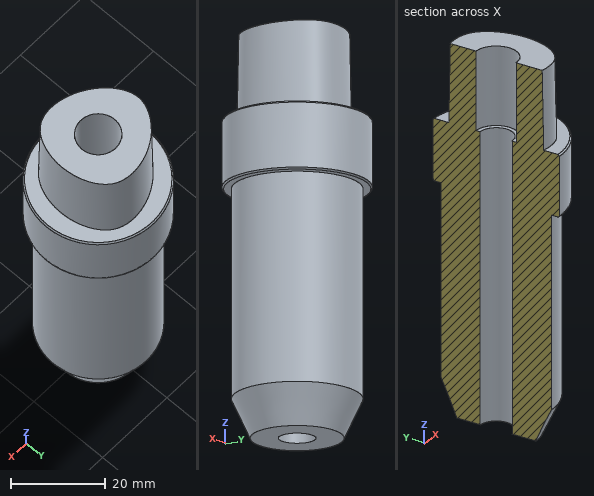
import cadquery as cq
import math

total_height = 89.0
nose_height = 8.6
stub_height = 19.0
collar_height = 15.0
collar_top = total_height - stub_height
collar_bottom = collar_top - collar_height

nose_diameter = 20.0
shaft_diameter = 28.0
collar_diameter = 32.0
collar_chamfer = 0.4

stub_base_radius = 12.2
stub_top_radius = 11.8
lobe_height = 0.67
lobe_count = 3
outline_points = 36

through_diameter = 8.0
counterbore_diameter = 10.1
counterbore_depth = stub_height


def lobed_outline(mean_radius):
    """Points on a constant-width outline with one lobe pointing along -X.

    Each point is the envelope of tangent lines at distance
    mean_radius - lobe_height * cos(lobe_count * angle) from the axis.
    """
    points = []
    for i in range(outline_points):
        angle = 2 * math.pi * i / outline_points
        reach = mean_radius - lobe_height * math.cos(lobe_count * angle)
        slope = lobe_count * lobe_height * math.sin(lobe_count * angle)
        x = reach * math.cos(angle) - slope * math.sin(angle)
        y = reach * math.sin(angle) + slope * math.cos(angle)
        points.append((x, y))
    return points


def make_body():
    """Tapered nose, shaft and chamfered collar, turned about Z."""
    nose_radius = nose_diameter / 2
    shaft_radius = shaft_diameter / 2
    nose_and_shaft = (
        cq.Workplane("XZ")
        .moveTo(0, 0)
        .lineTo(nose_radius, 0)
        .lineTo(shaft_radius, nose_height)
        .lineTo(shaft_radius, collar_bottom)
        .lineTo(0, collar_bottom)
        .close()
        .revolve(360, (0, 0, 0), (0, 1, 0))
    )
    collar = (
        cq.Workplane("XY", origin=(0, 0, collar_bottom))
        .circle(collar_diameter / 2)
        .extrude(collar_height)
        .edges("%CIRCLE")
        .chamfer(collar_chamfer)
    )
    return nose_and_shaft.union(collar)


def make_stub():
    """Three-lobed stub, tapering slightly towards the top."""
    return (
        cq.Workplane("XY", origin=(0, 0, collar_top))
        .spline(lobed_outline(stub_base_radius), periodic=True)
        .close()
        .workplane(offset=stub_height)
        .spline(lobed_outline(stub_top_radius), periodic=True)
        .close()
        .loft(ruled=True, combine=True)
    )


result = (
    make_body()
    .union(make_stub())
    .faces(">Z")
    .workplane(origin=(0, 0, total_height))
    .cboreHole(through_diameter, counterbore_diameter, counterbore_depth)
)